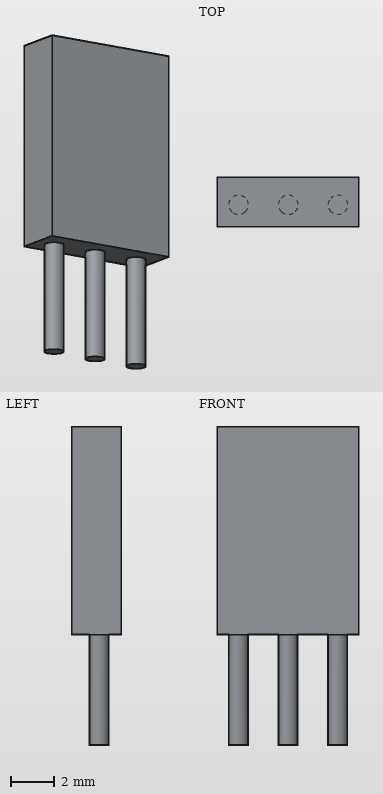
import cadquery as cq

total_height = 14.69
body_width = 6.54
body_depth = 2.29

lead_length = 5.1
lead_diameter = 0.9
lead_pitch = 2.29
lead_offset_y = -0.12
lead_count = 3

body_height = total_height - lead_length


def make_body():
    """Plain rectangular block resting on the plane Z = 0."""
    return cq.Workplane("XY").box(body_width, body_depth, body_height, centered=(True, True, False))


def make_lead(x):
    """Round lead hanging from the underside of the body."""
    return (
        cq.Workplane("XY")
        .center(x, lead_offset_y)
        .circle(lead_diameter / 2)
        .extrude(-lead_length)
    )


body = make_body()

leads = []
for index in range(lead_count):
    lead_x = (index - (lead_count - 1) / 2) * lead_pitch
    leads.append(make_lead(lead_x).val())

result = cq.Compound.makeCompound([body.val(), *leads])